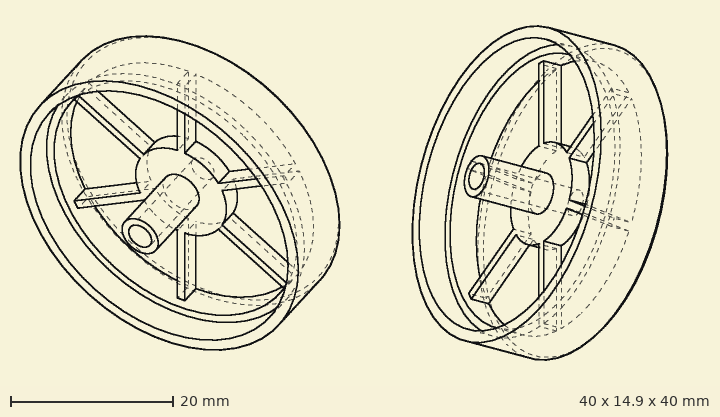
import cadquery as cq

wheel_radius = 20.0
wheel_width = 10.4
back_chamfer = 0.5

mouth_radius = 18.5
mouth_depth = 3.9
recess_radius = 17.45
web_thickness = 2.5

hub_radius = 6.5
hub_height = 5.15
shaft_radius = 2.6
overall_length = 14.95
bore_radius = 1.65

rib_count = 6
rib_width = 1.1
rib_height = hub_height


def cylinder(radius, start, end):
    """Cylinder on the wheel axis, between two distances from the back face."""
    return cq.Workplane("XZ").workplane(offset=start).circle(radius).extrude(end - start)


def wheel_shell():
    """Chamfered disc with the stepped recess cut into its open side."""
    shell = cylinder(wheel_radius, 0, wheel_width).faces(">Y").chamfer(back_chamfer)
    shell = shell.cut(cylinder(recess_radius, web_thickness, wheel_width))
    return shell.cut(cylinder(mouth_radius, wheel_width - mouth_depth, wheel_width))


def ribs():
    """Radial ribs from the hub to the recess wall, the first along +Z."""
    rib_length = (recess_radius + mouth_radius) / 2
    rib = (
        cq.Workplane("XZ")
        .center(0, rib_length / 2)
        .rect(rib_width, rib_length)
        .extrude(rib_height)
    )
    spokes = cq.Workplane("XZ")
    for index in range(rib_count):
        spokes = spokes.add(rib.rotate((0, 0, 0), (0, 1, 0), index * 360 / rib_count))
    return spokes.combine()


hub = cylinder(hub_radius, 0, hub_height)
shaft = cylinder(shaft_radius, 0, overall_length)
bore = cylinder(bore_radius, 0, overall_length)

result = wheel_shell().union(ribs()).union(hub).union(shaft).cut(bore)